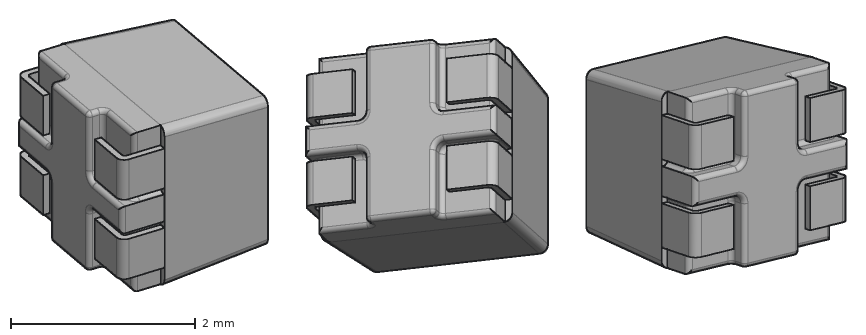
import cadquery as cq
import math

WIDTH = 2.2
DEPTH = 1.9
HEIGHT = 2.0

FLANGE_Y = 0.55
DRAFT_ANGLE = 3.0
COVER_EDGE_RADIUS = 0.1

LEAD_THICKNESS = 0.084
LEAD_WIDTH = 0.5
LEAD_CENTER_Z = 0.5
LEAD_TIP_X = 0.543
LEAD_OUTER_RADIUS = 0.1
LEAD_INNER_RADIUS = 0.04

SPINE_WIDTH = 0.796
RIB_HEIGHT = 0.339
RIB_LENGTH = 2.191
POCKET_DEPTH = 0.202
CROSS_CORNER_RADIUS = 0.1
EDGE_RADIUS = 0.055
BASE_WIDTH = WIDTH - 2 * LEAD_THICKNESS

SIDE_MARGIN = 0.22
STOCK_WIDTH = WIDTH + 2 * SIDE_MARGIN
TOLERANCE = 0.0002


def near(value, target):
    return abs(value - target) < TOLERANCE


def block(width, height, front_y):
    """Box centred on X and Z, from a front plane back to the flange plane."""
    return cq.Workplane("XZ", origin=(0, front_y, 0)).rect(width, height).extrude(front_y - FLANGE_Y)


def edges_where(body, test):
    """Edges of the body whose bounding box passes the test."""
    return body.newObject([edge for edge in body.edges().vals() if test(edge.BoundingBox())])


def at_y(box, y):
    return near(box.ymin, y) and near(box.ymax, y)


def make_cover():
    """Block that narrows toward the back, with its four long edges rounded."""
    length = DEPTH - FLANGE_Y
    shrink = 2 * length * math.tan(math.radians(DRAFT_ANGLE))
    cover = (
        cq.Workplane("XZ", origin=(0, FLANGE_Y, 0))
        .rect(WIDTH, HEIGHT)
        .workplane(offset=-length)
        .rect(WIDTH - shrink, HEIGHT - shrink)
        .loft(ruled=True)
    )
    return edges_where(cover, lambda box: near(box.ylen, length)).fillet(COVER_EDGE_RADIUS)


def make_cross_stock():
    """Cross on its pocket floors, with all blends, running past the sides of the part."""
    stock = (
        block(STOCK_WIDTH, HEIGHT, POCKET_DEPTH)
        .union(block(SPINE_WIDTH, HEIGHT, 0))
        .union(block(STOCK_WIDTH, RIB_HEIGHT, 0))
    )

    def on_stock_end(box):
        return near(abs(box.center.x), STOCK_WIDTH / 2)

    def on_top_or_bottom(box):
        return near(abs(box.center.z), HEIGHT / 2)

    def is_inner_corner(box):
        on_spine_wall = near(abs(box.center.x), SPINE_WIDTH / 2)
        on_rib_wall = near(abs(box.center.z), RIB_HEIGHT / 2)
        return near(box.ylen, POCKET_DEPTH) and on_spine_wall and on_rib_wall

    def is_foot_of_cross(box):
        return at_y(box, POCKET_DEPTH) and not on_stock_end(box) and not on_top_or_bottom(box)

    def is_outer_edge(box):
        on_outline = on_top_or_bottom(box) and box.ymax < FLANGE_Y - TOLERANCE
        return not on_stock_end(box) and (on_outline or at_y(box, 0))

    stock = edges_where(stock, is_inner_corner).fillet(CROSS_CORNER_RADIUS)
    stock = edges_where(stock, is_foot_of_cross).fillet(EDGE_RADIUS)
    return edges_where(stock, is_outer_edge).fillet(EDGE_RADIUS)


def make_side_envelope():
    """Shape that trims the sides: walls recessed for the leads, nearly full width at the rib."""
    walls = block(BASE_WIDTH, HEIGHT, POCKET_DEPTH).faces("<Y").edges("|Z").fillet(EDGE_RADIUS)
    rib = block(RIB_LENGTH, RIB_HEIGHT, 0).faces("<Y").edges("|Z").fillet(EDGE_RADIUS)
    envelope = walls.union(rib)

    def is_foot_of_rib(box):
        on_rib_wall = near(abs(box.center.z), RIB_HEIGHT / 2) and near(box.zlen, 0)
        behind_floor = box.ymin > POCKET_DEPTH - TOLERANCE
        within_walls = abs(box.center.x) < BASE_WIDTH / 2 + TOLERANCE
        return on_rib_wall and behind_floor and within_walls and not at_y(box, FLANGE_Y)

    envelope = edges_where(envelope, is_foot_of_rib).fillet(EDGE_RADIUS)

    core = block(BASE_WIDTH - 2 * EDGE_RADIUS, HEIGHT, 0)
    return envelope.union(core)


def make_housing():
    """Cover and base in one piece."""
    base = make_cross_stock().intersect(make_side_envelope())
    return make_cover().union(base)


def make_lead(side, row):
    """L-shaped strip along one side wall, folded across the front into a foot."""
    outer_x = WIDTH / 2
    inner_x = outer_x - LEAD_THICKNESS
    lead = (
        cq.Workplane("XY", origin=(0, 0, row * LEAD_CENTER_Z))
        .moveTo(LEAD_TIP_X, 0)
        .lineTo(outer_x, 0)
        .lineTo(outer_x, FLANGE_Y)
        .lineTo(inner_x, FLANGE_Y)
        .lineTo(inner_x, LEAD_THICKNESS)
        .lineTo(LEAD_TIP_X, LEAD_THICKNESS)
        .close()
        .extrude(LEAD_WIDTH / 2, both=True)
    )

    def is_upright_at(x, y):
        return lambda box: near(box.zlen, LEAD_WIDTH) and near(box.center.x, x) and at_y(box, y)

    lead = edges_where(lead, is_upright_at(outer_x, 0)).fillet(LEAD_OUTER_RADIUS)
    lead = edges_where(lead, is_upright_at(inner_x, LEAD_THICKNESS)).fillet(LEAD_INNER_RADIUS)
    return lead if side > 0 else lead.mirror("YZ")


housing = make_housing()
leads = [make_lead(side, row) for side in (-1, 1) for row in (-1, 1)]

result = cq.Compound.makeCompound([housing.solids().val(), *[lead.solids().val() for lead in leads]])